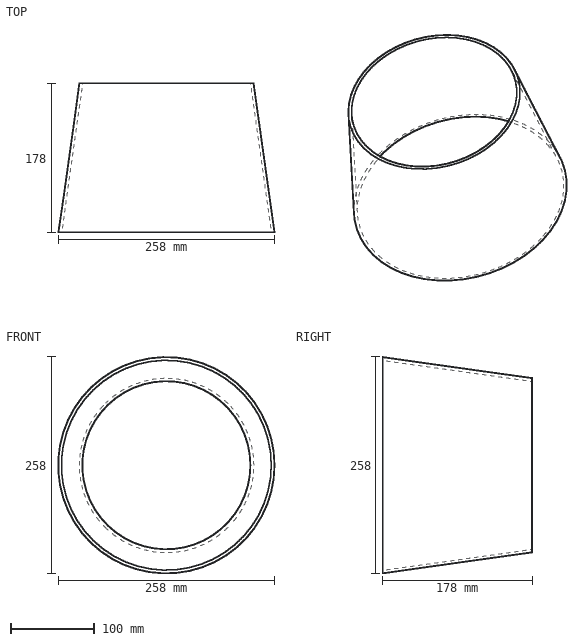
import cadquery as cq

large_outer_diameter = 258.0
large_inner_diameter = 250.0
small_outer_diameter = 208.0
length = 178.0

large_outer_radius = large_outer_diameter / 2
large_inner_radius = large_inner_diameter / 2
small_outer_radius = small_outer_diameter / 2

wall_thickness = large_outer_radius - large_inner_radius
small_inner_radius = small_outer_radius - wall_thickness

wall_section = (
    cq.Workplane("XY")
    .moveTo(large_inner_radius, 0)
    .lineTo(large_outer_radius, 0)
    .lineTo(small_outer_radius, length)
    .lineTo(small_inner_radius, length)
    .close()
)

result = wall_section.revolve(360, (0, 0, 0), (0, 1, 0))